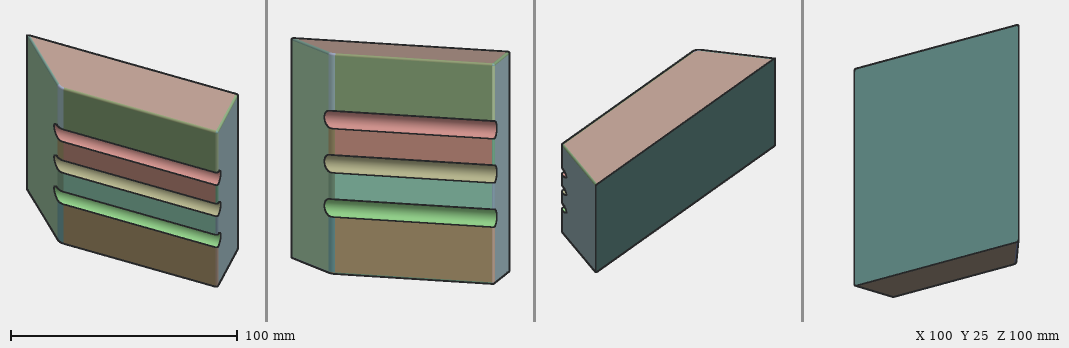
import cadquery as cq

length = 100.0
depth = 25.0
height = 100.0
lip = 0.1
bevel = 25.0
edge_round = 1.0
corner_round = 5.0

groove_radius = 4.0
groove_spacing = 20.0
groove_count = 3


def bevelled_block():
    """Upright block with a bevel on its left side, a thin back lip and rounded edges."""
    outline = [(0, depth), (0, depth - lip), (bevel, 0), (length, 0), (length, depth)]
    block = cq.Workplane("XY").polyline(outline).close().extrude(height)
    bevel_corner = cq.selectors.NearestToPointSelector((bevel, 0, height / 2))
    block = block.edges(bevel_corner).fillet(corner_round)
    front_right_edge = cq.selectors.NearestToPointSelector((length, 0, height / 2))
    block = block.edges(front_right_edge).fillet(edge_round)
    return block.faces("<Y").edges(">Z or <Z").fillet(edge_round)


def groove(z):
    """Round bar along X, centred on the front face at height z."""
    return cq.Workplane("YZ").center(0, z).circle(groove_radius).extrude(length)


result = bevelled_block()
for index in range(groove_count):
    offset = (index - (groove_count - 1) / 2) * groove_spacing
    result = result.cut(groove(height / 2 + offset))